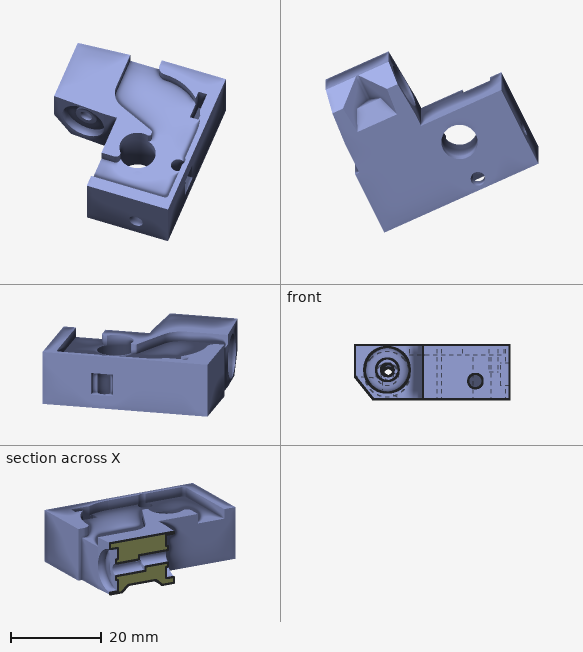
import cadquery as cq
import math

length = 34.0
width = 37.5
height = 12.0
main_left = 15.0
rear_lug_left = 19.0

head_mid_y = 28.0
neck_half_width = 17.0 / 2
taper_end = 12.0
taper_angle = 4.0
tip_half_width = neck_half_width - taper_end * math.tan(math.radians(taper_angle))
neck_front = head_mid_y - neck_half_width
neck_rear = head_mid_y + neck_half_width

bevel_run = 4.0
bevel_rise = 5.0
groove_height = 5.2
groove_half_width = 5.7
groove_crest_radius = 0.5
groove_drop = 4.5
groove_end = 6.0
groove_ledge = 2.1
groove_lean = 64.0

recess_diameter = 10.0
recess_depth = 2.0
collar_diameter = 5.0
collar_height = 0.5
bore_diameter = 2.8
bore_overlap = 0.75
recess_x = 7.0
front_recess_z = 6.5
rear_recess_z = 5.5

pocket_depth = 2.2
pocket_floor = height - pocket_depth
pocket_right = length - 1.2
pocket_front = 2.8
pocket_corner_radius = 0.75
pocket_arc_radius = 12.0
pocket_arc_x = pocket_right - pocket_arc_radius
pocket_arc_y = 22.12
lug_radius = 2.0

island_bend_y = 24.15
island_bend_radius = 5.0
island_slope = 25.0
island_tip_x = 23.62
island_tip_front = 17.35
island_step_x = rear_lug_left
island_front = 9.5
island_tip_radius = 0.5
island_step_radius = 1.0

bore_y = 13.5
main_bore_x = 22.0
main_bore_diameter = 8.0
pin_diameter = 3.2
pin_x = 31.5
notch_left = 29.5
notch_width = 2.0
notch_front = 26.62
notch_length = 5.62
notch_depth = 6.0
front_hole_x = 26.5
front_hole_z = 4.0
front_hole_depth = 7.5
side_pocket_size = 5.0
side_pocket_depth = 2.0
side_pocket_z = 5.5


def make_body():
    """Main block with the tapered head on its left side."""
    return (
        cq.Workplane("XY")
        .moveTo(main_left, 0)
        .lineTo(length, 0)
        .lineTo(length, width)
        .lineTo(rear_lug_left, width)
        .lineTo(rear_lug_left, neck_rear)
        .lineTo(taper_end, neck_rear)
        .lineTo(0, head_mid_y + tip_half_width)
        .lineTo(0, head_mid_y - tip_half_width)
        .lineTo(taper_end, neck_front)
        .lineTo(main_left, neck_front)
        .close()
        .extrude(height)
    )


def make_bevel():
    """Wedge removed below the head tip."""
    return (
        cq.Workplane("XZ")
        .polyline([(0, 0), (bevel_run, 0), (0, bevel_rise)])
        .close()
        .extrude(-width)
    )


def make_groove():
    """V groove running inwards from the tip, closed by a bent end wall."""
    foot = groove_end + groove_ledge * math.tan(math.radians(groove_lean))
    fall = math.radians(groove_drop)
    across = cq.Plane(
        origin=(0, head_mid_y, 0),
        xDir=(0, 1, 0),
        normal=(math.cos(fall), 0, -math.sin(fall)),
    )
    prism = (
        cq.Workplane(across)
        .polyline([
            (-2 * groove_half_width, -groove_height),
            (2 * groove_half_width, -groove_height),
            (0, groove_height),
        ])
        .close()
        .extrude(2 * foot, both=True)
        .edges(cq.selectors.DirectionMinMaxSelector(across.yDir, True))
        .fillet(groove_crest_radius)
    )
    side = (
        cq.Workplane("XZ")
        .polyline([
            (0, 0), (foot, 0), (groove_end, groove_ledge),
            (groove_end, groove_height), (0, groove_height),
        ])
        .close()
        .extrude(-width)
    )
    return prism.intersect(side)


def make_recess(side, recess_z):
    """Annular recess around a collar, bored just past the head's middle.

    The side is -1 for the front flank and +1 for the rear flank.
    """
    run = recess_x / taper_end
    flank_half_width = tip_half_width + run * (neck_half_width - tip_half_width)
    angle = math.radians(taper_angle)
    face = cq.Plane(
        origin=(recess_x, head_mid_y + side * flank_half_width, recess_z),
        xDir=(0, 0, 1),
        normal=(math.sin(angle), -side * math.cos(angle), 0),
    )
    recess = cq.Workplane(face).circle(recess_diameter / 2).extrude(recess_depth)
    collar = (
        cq.Workplane(face)
        .workplane(offset=recess_depth - collar_height)
        .circle(collar_diameter / 2)
        .extrude(collar_height)
    )
    bore_depth = flank_half_width / math.cos(angle) + bore_overlap
    bore = cq.Workplane(face).circle(bore_diameter / 2).extrude(bore_depth)
    return recess.cut(collar).union(bore)


def round_corner(solid, x, y, radius):
    """Round the vertical edge of a pocket-deep solid that stands at (x, y)."""
    middle = (x, y, pocket_floor + pocket_depth / 2)
    return solid.edges("|Z").edges(cq.NearestToPointSelector(middle)).fillet(radius)


def make_pocket():
    """Open pocket in the top face, bounded by the island, the lug and the outer rim."""
    lug_x = rear_lug_left + lug_radius
    reach = pocket_arc_radius + lug_radius
    lug_y = pocket_arc_y + math.sqrt(reach**2 - (lug_x - pocket_arc_x) ** 2)
    share = pocket_arc_radius / reach
    tangent_x = pocket_arc_x + share * (lug_x - pocket_arc_x)
    tangent_y = pocket_arc_y + share * (lug_y - pocket_arc_y)
    arc_mid = pocket_arc_radius * math.sqrt(0.5)
    lug_mid = lug_radius * math.sqrt(0.5)
    area = (
        cq.Workplane("XY", origin=(0, 0, pocket_floor))
        .moveTo(0, pocket_front)
        .lineTo(pocket_right, pocket_front)
        .lineTo(pocket_right, pocket_arc_y)
        .threePointArc(
            (pocket_arc_x + arc_mid, pocket_arc_y + arc_mid),
            (tangent_x, tangent_y),
        )
        .threePointArc((lug_x - lug_mid, lug_y - lug_mid), (rear_lug_left, lug_y))
        .lineTo(rear_lug_left, width)
        .lineTo(0, width)
        .close()
        .extrude(pocket_depth)
    )
    area = round_corner(area, pocket_right, pocket_front, pocket_corner_radius)
    return area.cut(make_island())


def make_island():
    """Raised area left standing between the pocket and the left walls."""
    slope = math.tan(math.radians(island_slope))
    tip_y = island_bend_y - (island_tip_x - taper_end) * slope
    island = (
        cq.Workplane("XY", origin=(0, 0, pocket_floor))
        .polyline([
            (0, island_front),
            (island_step_x, island_front),
            (island_step_x, bore_y),
            (main_bore_x, bore_y),
            (main_bore_x, island_tip_front),
            (island_tip_x, island_tip_front),
            (island_tip_x, tip_y),
            (taper_end, island_bend_y),
            (taper_end, width),
            (0, width),
        ])
        .close()
        .extrude(pocket_depth)
    )
    for x, y, radius in (
        (island_step_x, island_front, island_step_radius),
        (island_tip_x, island_tip_front, island_tip_radius),
        (island_tip_x, tip_y, island_tip_radius),
        (taper_end, island_bend_y, island_bend_radius),
    ):
        island = round_corner(island, x, y, radius)
    return island


def make_vertical_hole(x, diameter):
    """Hole through the full height on the common bore line."""
    return cq.Workplane("XY").center(x, bore_y).circle(diameter / 2).extrude(height)


def make_notch():
    """Rectangular slot sunk below the pocket floor."""
    return (
        cq.Workplane("XY", origin=(0, 0, height - notch_depth))
        .moveTo(notch_left, notch_front)
        .rect(notch_width, notch_length, centered=False)
        .extrude(notch_depth)
    )


def make_front_hole():
    """Blind hole in the front face."""
    return (
        cq.Workplane("XZ")
        .center(front_hole_x, front_hole_z)
        .circle(pin_diameter / 2)
        .extrude(-front_hole_depth)
    )


def make_side_pocket():
    """Square pocket in the right face that opens into the pin hole."""
    return (
        cq.Workplane("YZ", origin=(length - side_pocket_depth, 0, 0))
        .center(bore_y, side_pocket_z)
        .rect(side_pocket_size, side_pocket_size)
        .extrude(side_pocket_depth)
    )


result = (
    make_body()
    .cut(make_pocket())
    .cut(make_bevel())
    .cut(make_groove())
    .cut(make_recess(-1, front_recess_z))
    .cut(make_recess(1, rear_recess_z))
    .cut(make_vertical_hole(main_bore_x, main_bore_diameter))
    .cut(make_vertical_hole(pin_x, pin_diameter))
    .cut(make_notch())
    .cut(make_front_hole())
    .cut(make_side_pocket())
)